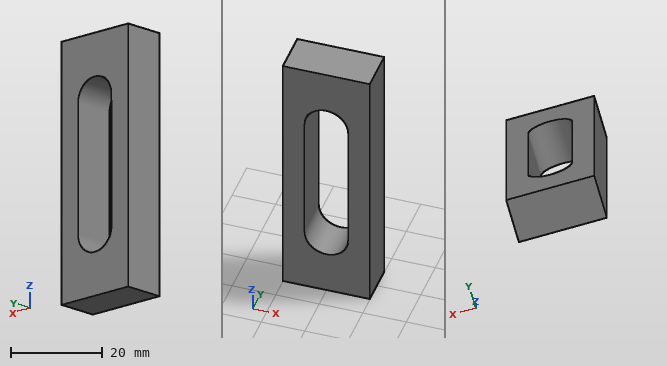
import cadquery as cq

height = 60.0
width = height / 3
thickness = width / 2

slot_width = width / 2
slot_length = 2 * width

bar = cq.Workplane("XY").box(width, thickness, height)

slot_cutter = (
    cq.Workplane("XZ")
    .slot2D(slot_length, slot_width, angle=90)
    .extrude(thickness, both=True)
)

result = bar.cut(slot_cutter)